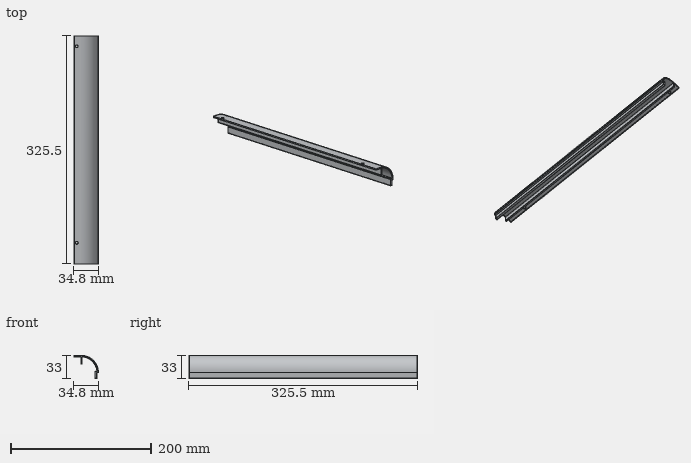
import cadquery as cq
import math

length = 325.5
width = 34.8
height = 33.0
wall = 2.0

outer_radius = 24.7
inner_radius = outer_radius - wall
arc_center_x = width - outer_radius
arc_center_z = -outer_radius

rib_left = 9.8
rib_depth = 12.0

leg_left = 29.5
leg_right = 32.5
ledge_root_z = -22.0
ledge_tip_z = -22.8
ledge_chamfer = 0.5

hole_diameter = 3.5
hole_x = 4.0
front_hole_inset = 30.3
back_hole_inset = 15.0


def arc_point(radius, angle):
    """Point on a circle about the cover's axis, at an angle in radians above +X."""
    return (
        arc_center_x + radius * math.cos(angle),
        arc_center_z + radius * math.sin(angle),
    )


def extrude_profile():
    """Constant cross-section, extruded over the whole length."""
    ledge_angle = math.asin((ledge_root_z - arc_center_z) / inner_radius)
    inner_mid_angle = (ledge_angle + math.pi / 2) / 2
    return (
        cq.Workplane("XZ")
        .moveTo(0, 0)
        .lineTo(arc_center_x, 0)
        .threePointArc(arc_point(outer_radius, math.pi / 4), (width, arc_center_z))
        .lineTo(leg_right, arc_center_z)
        .lineTo(leg_right, -height)
        .lineTo(leg_left, -height)
        .lineTo(leg_left, ledge_tip_z - ledge_chamfer)
        .lineTo(leg_left + ledge_chamfer, ledge_tip_z)
        .lineTo(*arc_point(inner_radius, ledge_angle))
        .threePointArc(arc_point(inner_radius, inner_mid_angle), (arc_center_x, -wall))
        .lineTo(0, -wall)
        .close()
        .extrude(length / 2, both=True)
    )


def make_rib():
    """Thin rib under the start of the curve; its top is buried half a wall deep in the flange."""
    rib_height = rib_depth - wall / 2
    return (
        cq.Workplane("XY")
        .box(wall, length, rib_height, centered=(False, True, False))
        .translate((rib_left, 0, -rib_depth))
    )


def make_screw_holes():
    """Cutters for the through holes near the two ends of the flange."""
    hole_positions = [
        (hole_x, -length / 2 + front_hole_inset),
        (hole_x, length / 2 - back_hole_inset),
    ]
    return (
        cq.Workplane("XY")
        .pushPoints(hole_positions)
        .circle(hole_diameter / 2)
        .extrude(-wall)
    )


result = extrude_profile().union(make_rib()).cut(make_screw_holes())